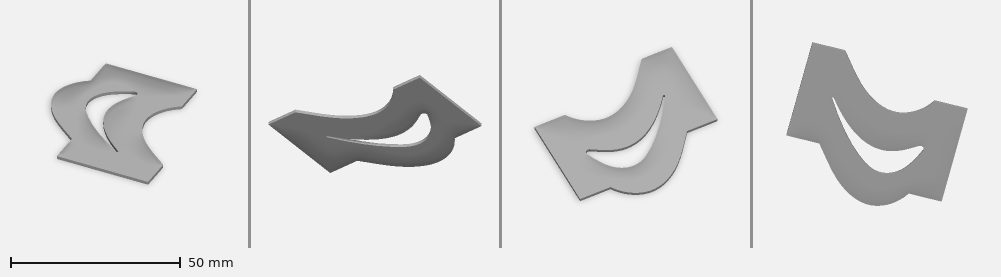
import cadquery as cq

height = 49.45
width = 45.0
thickness = 1.0

pitch = 30.0
end_band = 10.0
wall_inlet_x = 6.45
wall_outlet_x = width - pitch
wall_inlet = (wall_inlet_x, height - end_band)
wall_outlet = (wall_outlet_x, end_band)

wall_points = [(3.55, 37.15), (1.2, 33.75), (0.0, 28.9), (1.35, 23.6), (4.3, 19.1), (9.05, 14.6)]

nose_back = (20.35, 40.05)
nose_crown = (21.45, 39.95)
nose_front = (21.8, 38.7)
tail_front = (29.95, 10.45)
tail_end = (30.05, 10.1)
tail_back = (29.7, 9.9)
front_points = [(20.1, 36.0), (18.5, 32.65), (17.7, 28.45), (18.6, 23.6), (21.05, 19.1), (25.0, 14.6)]
back_points = [(22.75, 14.6), (17.3, 19.1), (13.15, 23.6), (11.05, 27.0), (10.55, 30.3), (12.4, 34.9), (16.3, 38.05)]


def shifted(points, offset):
    """Return the points moved along X."""
    return [(x + offset, y) for x, y in points]


def make_plate():
    """Plate with straight end bands and two parallel curved walls."""
    left_wall = [wall_inlet] + wall_points + [wall_outlet]
    right_wall = shifted(left_wall, pitch)
    return (
        cq.Workplane("XY")
        .moveTo(wall_inlet_x, height)
        .lineTo(*wall_inlet)
        .spline(left_wall[1:], includeCurrent=True)
        .lineTo(wall_outlet_x, 0)
        .lineTo(width, 0)
        .lineTo(*right_wall[-1])
        .spline(right_wall[-2::-1], includeCurrent=True)
        .lineTo(wall_inlet_x + pitch, height)
        .close()
        .extrude(thickness)
    )


def make_blade_opening():
    """Through cutter bounded by two curved flanks and two rounded ends."""
    return (
        cq.Workplane("XY")
        .moveTo(*nose_back)
        .threePointArc(nose_crown, nose_front)
        .spline(front_points + [tail_front], includeCurrent=True)
        .threePointArc(tail_end, tail_back)
        .spline(back_points + [nose_back], includeCurrent=True)
        .close()
        .extrude(thickness)
    )


result = make_plate().cut(make_blade_opening())